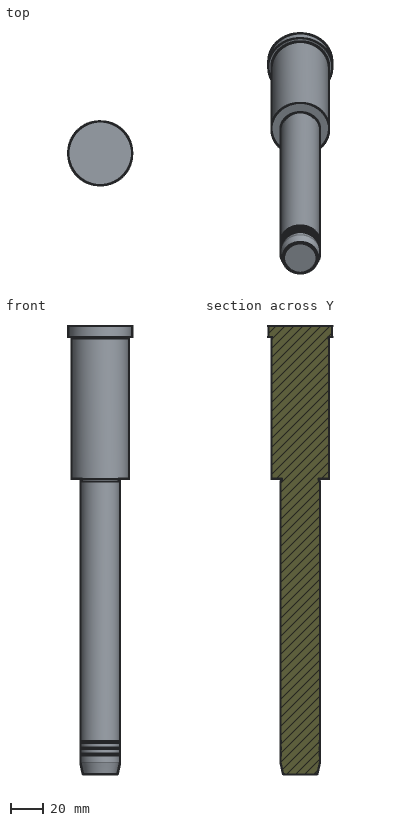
import cadquery as cq

total_length = 280.0

head_diameter = 40.0
head_thickness = 7.0
sleeve_diameter = 36.0
sleeve_end_depth = 95.5
undercut_width = 0.8
undercut_depth = 0.3

shaft_diameter = 25.0
neck_diameter = 23.0
neck_length = 1.7

taper_length = 7.5
taper_end_diameter = 21.5
tip_chamfer = 0.5

groove_count = 3
lowest_groove_height = 12.5
groove_pitch = 4.0
groove_width = 1.0
groove_depth = 0.2


def cylinder(diameter, bottom, top):
    """Solid cylinder on the Z axis between two heights."""
    return cq.Workplane("XY").workplane(offset=bottom).circle(diameter / 2).extrude(top - bottom)


def cone(bottom_diameter, top_diameter, bottom, top):
    """Solid truncated cone on the Z axis between two heights."""
    return (
        cq.Workplane("XY").workplane(offset=bottom).circle(bottom_diameter / 2)
        .workplane(offset=top - bottom).circle(top_diameter / 2)
        .loft(ruled=True)
    )


def ring_cutter(diameter, depth, bottom, width):
    """Ring that cuts a square groove into a cylinder of the given diameter."""
    core_radius = diameter / 2 - depth
    return (
        cq.Workplane("XY").workplane(offset=bottom)
        .circle(diameter / 2 + depth).circle(core_radius).extrude(width)
    )


head_bottom = total_length - head_thickness
sleeve_bottom = total_length - sleeve_end_depth
shaft_top = sleeve_bottom - neck_length

head = cylinder(head_diameter, head_bottom, total_length)
sleeve = cylinder(sleeve_diameter, sleeve_bottom, head_bottom)
sleeve = sleeve.cut(
    ring_cutter(sleeve_diameter, undercut_depth, head_bottom - undercut_width, undercut_width)
)

neck = cone(shaft_diameter, neck_diameter, shaft_top, sleeve_bottom)
shaft = cylinder(shaft_diameter, taper_length, shaft_top)
for index in range(groove_count):
    groove_bottom = lowest_groove_height + index * groove_pitch - groove_width / 2
    shaft = shaft.cut(ring_cutter(shaft_diameter, groove_depth, groove_bottom, groove_width))

tip = cone(taper_end_diameter, shaft_diameter, 0, taper_length)
tip = tip.faces("<Z").edges().chamfer(tip_chamfer)

result = head.union(sleeve).union(neck).union(shaft).union(tip)